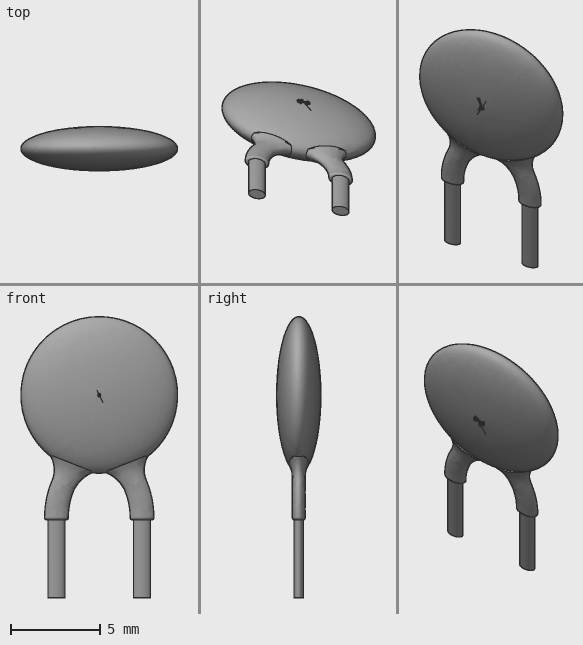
import cadquery as cq
import math

DISC_DIAMETER = 8.8
DISC_THICKNESS = 2.5

LEAD_PITCH = 4.8
LEAD_WIDTH = 0.96
LEAD_THICKNESS = 0.54
LEAD_BOTTOM_Z = -11.38
LEAD_EMBED = 0.5

SLEEVE_WIDTH = 1.35
SLEEVE_THICKNESS = 0.74
SLEEVE_BOTTOM_Z = -7.01
SLEEVE_END_ROUND = 0.13
SLEEVE_STRAIGHT = 0.15
BEND_START_Z = SLEEVE_BOTTOM_Z + SLEEVE_STRAIGHT
BEND_RADIUS = 4.6
BEND_ANGLE = 24.0

NECK_TILT = 21.5
NECK_MIDDLE = (1.75, -4.42, NECK_TILT, 1.68, 0.75)
NECK_ROOT = (1.53, -3.84, NECK_TILT, 2.68, 1.08)


def make_disc():
    """Half an ellipse revolved about Y."""
    radius = DISC_DIAMETER / 2
    half_thickness = DISC_THICKNESS / 2
    return (
        cq.Workplane("XY")
        .moveTo(0, -half_thickness)
        .ellipseArc(radius, half_thickness, -90, 90, startAtCurrent=True)
        .close()
        .revolve(360, (0, 0, 0), (0, 1, 0))
    )


def oval_section(x, z, tilt, width, thickness):
    """Elliptical wire on the +X side whose plane normal leans toward -X by the tilt in degrees."""
    lean = math.radians(tilt)
    plane = cq.Plane(
        origin=(x, 0, z),
        xDir=(math.cos(lean), 0, math.sin(lean)),
        normal=(-math.sin(lean), 0, math.cos(lean)),
    )
    return cq.Workplane(plane).ellipse(width / 2, thickness / 2)


def bend_point(angle):
    """Point (X, Z) on the sleeve centreline after turning by the given angle."""
    turn = math.radians(angle)
    x = LEAD_PITCH / 2 - BEND_RADIUS * (1 - math.cos(turn))
    z = BEND_START_Z + BEND_RADIUS * math.sin(turn)
    return x, z


def make_lead():
    length = SLEEVE_BOTTOM_Z + LEAD_EMBED - LEAD_BOTTOM_Z
    return oval_section(LEAD_PITCH / 2, LEAD_BOTTOM_Z, 0, LEAD_WIDTH, LEAD_THICKNESS).extrude(length)


def make_sleeve():
    """Rounded straight end followed by the bent oval tube."""
    x = LEAD_PITCH / 2
    end = oval_section(x, SLEEVE_BOTTOM_Z, 0, SLEEVE_WIDTH, SLEEVE_THICKNESS).extrude(SLEEVE_STRAIGHT)
    end = end.faces("<Z").edges().fillet(SLEEVE_END_ROUND)
    path = (
        cq.Workplane("XZ")
        .moveTo(x, BEND_START_Z)
        .threePointArc(bend_point(BEND_ANGLE / 2), bend_point(BEND_ANGLE))
    )
    bend = oval_section(x, BEND_START_Z, 0, SLEEVE_WIDTH, SLEEVE_THICKNESS).sweep(path)
    return end.union(bend)


def make_neck():
    """Smooth flare from the top of the sleeve to a broad root inside the disc."""
    x, z = bend_point(BEND_ANGLE)
    sections = [
        (x, z, BEND_ANGLE, SLEEVE_WIDTH, SLEEVE_THICKNESS),
        NECK_MIDDLE,
        NECK_ROOT,
    ]
    wires = [oval_section(*section).val() for section in sections]
    return cq.Workplane(cq.Solid.makeLoft(wires))


leg = make_lead().union(make_sleeve()).union(make_neck())
result = make_disc().union(leg).union(leg.mirror("YZ"))